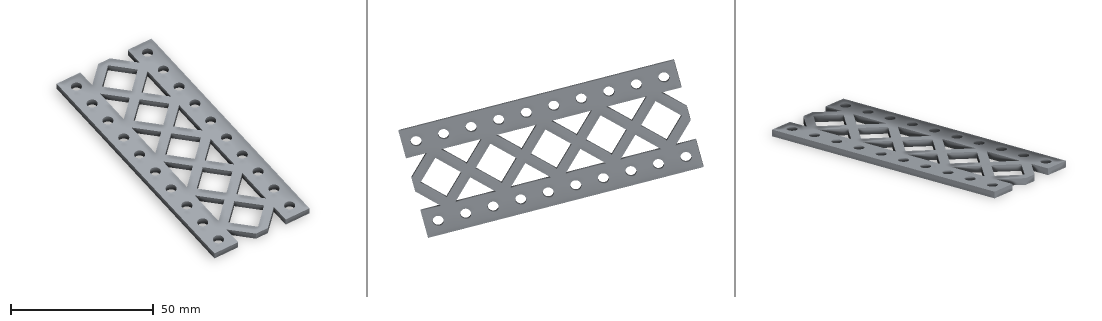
import cadquery as cq

length = 100.0
width = 40.0
thickness = 2.5

rail_width = 10.0
hole_diameter = 3.9
hole_pitch = 10.0
hole_count = 10

cell_count = 5
strip_width = 3.5

cell_length = length / cell_count
lattice_width = width - 2 * rail_width
rail_offset = (width - rail_width) / 2
strip_length = 2 * (lattice_width + rail_width)
strip_angle = 45


def make_rail(side):
    """Rail with a row of through holes, on the +Y (1) or -Y (-1) side."""
    return (
        cq.Workplane("XY")
        .center(0, side * rail_offset)
        .rect(length, rail_width)
        .rarray(hole_pitch, 1, hole_count, 1)
        .circle(hole_diameter / 2)
        .extrude(thickness)
    )


def make_lattice():
    """Crossing diagonal strips, trimmed to the area between the rails."""
    strips = cq.Workplane("XY")
    for index in range(cell_count + 1):
        crossing_x = index * cell_length - length / 2
        for angle in (strip_angle, -strip_angle):
            strip = (
                cq.Workplane("XY")
                .rect(strip_length, strip_width)
                .extrude(thickness)
                .rotate((0, 0, 0), (0, 0, 1), angle)
                .translate((crossing_x, 0, 0))
            )
            strips = strips.add(strip)
    area = cq.Workplane("XY").rect(length, lattice_width).extrude(thickness)
    return strips.combine().intersect(area)


result = make_lattice().union(make_rail(1)).union(make_rail(-1)).clean()